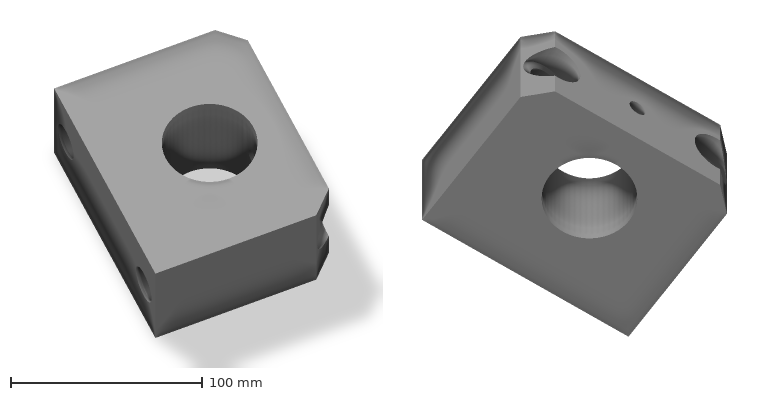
import cadquery as cq

width = 130.0
depth = 105.0
height = 58.0
corner_chamfer = 13.0
mid_height = height / 2

bore_diameter = 50.0
bore_y = 60.0

bolt_spacing = 100.0
bolt_hole_diameter = 17.5
bolt_mouth_diameter = 20.0
bolt_mouth_chamfer = (bolt_mouth_diameter - bolt_hole_diameter) / 2
counterbore_diameter = 28.0
counterbore_depth = 13.0

cross_hole_diameter = 10.0


def make_block():
    """Rectangular block with its two rear vertical corners cut off."""
    block = cq.Workplane("XY").box(width, depth, height, centered=(True, False, False))
    return block.edges("|Z and >Y").chamfer(corner_chamfer)


def cylinder_along_y(diameter, x, y_start, y_end):
    """Cylinder parallel to Y at mid height, from y_start to y_end."""
    base = cq.Vector(x, y_start, mid_height)
    return cq.Solid.makeCylinder(diameter / 2, y_end - y_start, base, cq.Vector(0, 1, 0))


def cut_bore(body):
    """Cut the vertical bore through the full height."""
    bore = cq.Workplane("XY").center(0, bore_y).circle(bore_diameter / 2).extrude(height)
    return body.cut(bore)


def cut_bolt_hole(body, x):
    """Cut a through hole with a chamfered front mouth and a counterbore at the back."""
    mouth = cq.Solid.makeCone(
        bolt_mouth_diameter / 2,
        bolt_hole_diameter / 2,
        bolt_mouth_chamfer,
        cq.Vector(x, 0, mid_height),
        cq.Vector(0, 1, 0),
    )
    body = body.cut(cylinder_along_y(bolt_hole_diameter, x, 0, depth))
    body = body.cut(mouth)
    return body.cut(cylinder_along_y(counterbore_diameter, x, depth - counterbore_depth, depth))


def cut_cross_hole(body):
    """Cut the hole that joins the back face to the bore."""
    return body.cut(cylinder_along_y(cross_hole_diameter, 0, bore_y, depth))


result = make_block()
result = cut_bore(result)
for side in (-1, 1):
    result = cut_bolt_hole(result, side * bolt_spacing / 2)
result = cut_cross_hole(result)